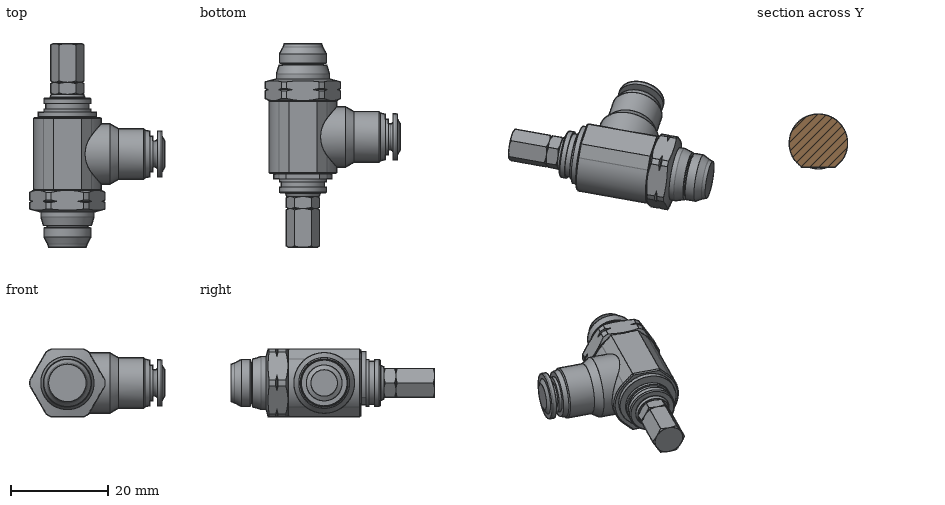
import cadquery as cq
import math


TIP_RADIUS = 3.85
TIP_BAND_RADIUS = 4.1
TIP_BAND_TOP = 0.7
PLUG_RADIUS = 4.87
PLUG_BOTTOM = 2.15
PLUG_TOP = 4.0
SEAL_GROOVE_RADIUS = 4.2
SEAL_GROOVE_BOTTOM = 4.2
SEAL_GROOVE_TOP = 4.45
SEAT_SMALL_RADIUS = 4.95
SEAT_RADIUS = 5.5
SEAT_CONE_TOP = 6.25
NUT_BOTTOM = 7.25

ACROSS_FLATS = 14.03
HALF_FLATS = ACROSS_FLATS / 2
NUT_CORNER_RADIUS = 7.75
NUT_TOP = 11.75
NUT_LOWER_CHAMFER_ANGLE = 15
NUT_UPPER_CHAMFER_ANGLE = 30
NUT_MARK_Y = 9.5
NUT_MARK_DEPTH = 0.4
NUT_MARK_HALF_WIDTH = 0.25

NECK_RADIUS = 6.8
BODY_BOTTOM = 11.93
BODY_TOP = 26.8
BODY_CHAMFER = 0.25

COLLAR_RADIUS = 6.05
COLLAR_OFFSET = 0.45
COLLAR_LOWEST = -4.5
COLLAR_TRIM_START = -3.0
COLLAR_GAP_INSET = 0.35
COLLAR_BOTTOM = 26.92
COLLAR_TOP = 27.9

HEAD_RADIUS = 4.87
HEAD_GROOVE_RADIUS = 4.5
HEAD_GROOVE_BOTTOM = 28.5
HEAD_GROOVE_TOP = 29.6
HEAD_TOP = 30.83
HEAD_CHAMFER = 0.25
SHOULDER_RADIUS = 3.6
SHOULDER_TOP_RADIUS = 3.35
SHOULDER_BOTTOM = 30.95
SHOULDER_TOP = 31.55
SCREW_ACROSS_FLATS = 5.95
SCREW_SPLIT = 34.0
SCREW_TOP = 42.0
SCREW_CHAMFER_ANGLE = 30

PORT_Y = 19.25
PORT_RADIUS = 6.25
PORT_CONE_START = 8.78
PORT_CONE_END = 10.5
SLEEVE_RADIUS = 5.25
SLEEVE_END = 15.7
CAP_RADIUS = 4.95
CAP_START = 15.95
CAP_END_RADIUS = 4.7
CAP_END = 17.0
STEP_RADIUS = 3.7
STEP_END = 17.65
RING_NECK_RADIUS = 2.75
RING_FILLET = 0.45
RING_START = 18.55
RING_RADIUS = 4.8
RING_EDGE_START = 19.25
RING_END_RADIUS = 4.7
RING_END = 19.55
MOUTH_RADIUS = 3.7
MOUTH_END_RADIUS = 2.75
PORT_END = 20.08


def stem_revolve(profile):
    """Solid of revolution about Y from (radius, Y) points."""
    start = (0, profile[0][1])
    end = (0, profile[-1][1])
    return cq.Workplane("XY").polyline([start] + profile + [end]).close().revolve(360, (0, 0), (0, 1))


def stem_hexagon(across_flats, bottom, top):
    """Hexagonal bar along Y with corners on +X and -X."""
    corner_diameter = across_flats / math.cos(math.radians(30))
    bar = cq.Workplane("XZ").polygon(6, corner_diameter).extrude(bottom - top)
    return bar.translate((0, bottom, 0))


def make_plug():
    return stem_revolve([
        (TIP_RADIUS, 0),
        (TIP_BAND_RADIUS, TIP_BAND_TOP),
        (PLUG_RADIUS, PLUG_BOTTOM),
        (PLUG_RADIUS, PLUG_TOP),
        (SEAL_GROOVE_RADIUS, SEAL_GROOVE_BOTTOM),
        (SEAL_GROOVE_RADIUS, SEAL_GROOVE_TOP),
        (SEAT_SMALL_RADIUS, SEAL_GROOVE_TOP),
        (SEAT_RADIUS, SEAT_CONE_TOP),
        (SEAT_RADIUS, NUT_BOTTOM),
    ])


def make_nut():
    lower_rise = (NUT_CORNER_RADIUS - SEAT_RADIUS) * math.tan(math.radians(NUT_LOWER_CHAMFER_ANGLE))
    upper_drop = (NUT_CORNER_RADIUS - HALF_FLATS) * math.tan(math.radians(NUT_UPPER_CHAMFER_ANGLE))
    blank = stem_revolve([
        (SEAT_RADIUS, NUT_BOTTOM),
        (NUT_CORNER_RADIUS, NUT_BOTTOM + lower_rise),
        (NUT_CORNER_RADIUS, NUT_MARK_Y - NUT_MARK_HALF_WIDTH),
        (NUT_CORNER_RADIUS - NUT_MARK_DEPTH, NUT_MARK_Y),
        (NUT_CORNER_RADIUS, NUT_MARK_Y + NUT_MARK_HALF_WIDTH),
        (NUT_CORNER_RADIUS, NUT_TOP - upper_drop),
        (HALF_FLATS, NUT_TOP),
    ])
    return stem_hexagon(ACROSS_FLATS, NUT_BOTTOM, NUT_TOP).intersect(blank)


def make_body():
    flat_half = HALF_FLATS * math.tan(math.radians(22.5))
    tangent = HALF_FLATS * math.cos(math.radians(45))
    body = (
        cq.Workplane("XZ")
        .moveTo(-flat_half, HALF_FLATS)
        .lineTo(flat_half, HALF_FLATS)
        .lineTo(tangent, tangent)
        .threePointArc((HALF_FLATS, 0), (tangent, -tangent))
        .lineTo(flat_half, -HALF_FLATS)
        .lineTo(-flat_half, -HALF_FLATS)
        .lineTo(-tangent, -tangent)
        .threePointArc((-HALF_FLATS, 0), (-tangent, tangent))
        .close()
        .extrude(BODY_BOTTOM - BODY_TOP)
        .translate((0, BODY_BOTTOM, 0))
    )
    body = body.faces(">Y").chamfer(BODY_CHAMFER)
    neck = stem_revolve([(NECK_RADIUS, NUT_TOP), (NECK_RADIUS, BODY_BOTTOM)])
    return body.union(neck)


def make_collar():
    def half_width(z):
        return math.sqrt(COLLAR_RADIUS**2 - (z - COLLAR_OFFSET) ** 2)

    trim_x = half_width(COLLAR_TRIM_START)
    base_x = half_width(COLLAR_LOWEST)
    collar = (
        cq.Workplane("XZ")
        .moveTo(trim_x, COLLAR_TRIM_START)
        .threePointArc((0, COLLAR_OFFSET + COLLAR_RADIUS), (-trim_x, COLLAR_TRIM_START))
        .lineTo(-base_x, COLLAR_LOWEST)
        .lineTo(base_x, COLLAR_LOWEST)
        .close()
        .extrude(COLLAR_BOTTOM - COLLAR_TOP)
        .translate((0, COLLAR_BOTTOM, 0))
    )
    rim = collar.faces("<Y").wires().toPending()
    return rim.offset2D(-COLLAR_GAP_INSET).extrude(COLLAR_BOTTOM - BODY_TOP)


def make_head():
    return stem_revolve([
        (HEAD_RADIUS, COLLAR_TOP),
        (HEAD_RADIUS, HEAD_GROOVE_BOTTOM),
        (HEAD_GROOVE_RADIUS, HEAD_GROOVE_BOTTOM),
        (HEAD_GROOVE_RADIUS, HEAD_GROOVE_TOP),
        (HEAD_RADIUS, HEAD_GROOVE_TOP),
        (HEAD_RADIUS, HEAD_TOP - HEAD_CHAMFER),
        (HEAD_RADIUS - HEAD_CHAMFER, HEAD_TOP),
        (SHOULDER_RADIUS, HEAD_TOP),
        (SHOULDER_RADIUS, SHOULDER_BOTTOM),
        (SHOULDER_TOP_RADIUS, SHOULDER_TOP),
    ])


def make_screw_hexagon(bottom, top):
    """Hexagon of the adjusting screw with both ends turned to a chamfer."""
    inner = SCREW_ACROSS_FLATS / 2
    outer = inner / math.cos(math.radians(30))
    chamfer = (outer - inner) * math.tan(math.radians(SCREW_CHAMFER_ANGLE))
    blank = stem_revolve([(inner, bottom), (outer, bottom + chamfer), (outer, top - chamfer), (inner, top)])
    return stem_hexagon(SCREW_ACROSS_FLATS, bottom, top).intersect(blank)


def make_port():
    """Tube port turned about the X direction at the height of its axis."""
    fillet_mid = RING_FILLET * math.sqrt(0.5)
    fillet_start = RING_START - RING_FILLET
    fillet_top = RING_NECK_RADIUS + RING_FILLET
    profile = (
        cq.Workplane("XY", origin=(0, PORT_Y, 0))
        .polyline([
            (0, 0),
            (0, PORT_RADIUS),
            (PORT_CONE_START, PORT_RADIUS),
            (PORT_CONE_END, SLEEVE_RADIUS),
            (SLEEVE_END, SLEEVE_RADIUS),
            (CAP_START, CAP_RADIUS),
            (CAP_END, CAP_END_RADIUS),
            (CAP_END, STEP_RADIUS),
            (STEP_END, STEP_RADIUS),
            (STEP_END, RING_NECK_RADIUS),
            (fillet_start, RING_NECK_RADIUS),
        ])
        .threePointArc((fillet_start + fillet_mid, fillet_top - fillet_mid), (RING_START, fillet_top))
        .lineTo(RING_START, RING_RADIUS)
        .lineTo(RING_EDGE_START, RING_RADIUS)
        .lineTo(RING_END, RING_END_RADIUS)
        .lineTo(RING_END, MOUTH_RADIUS)
        .lineTo(PORT_END, MOUTH_END_RADIUS)
        .lineTo(PORT_END, 0)
        .close()
    )
    return profile.revolve(360, (0, 0), (1, 0))


result = (
    make_plug()
    .union(make_nut())
    .union(make_body())
    .union(make_collar())
    .union(make_head())
    .union(make_screw_hexagon(SHOULDER_TOP, SCREW_SPLIT))
    .union(make_screw_hexagon(SCREW_SPLIT, SCREW_TOP))
    .union(make_port())
    .solids()
)